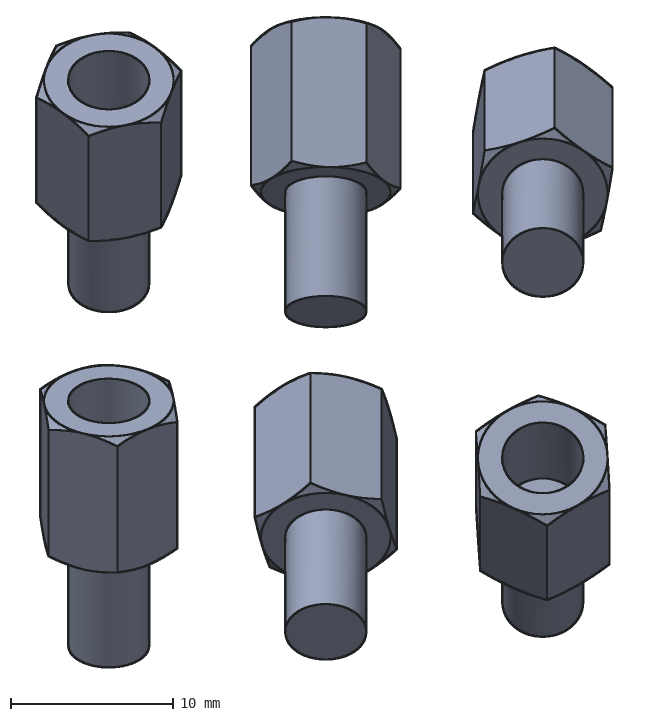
import cadquery as cq
import math

total_height = 18.0
hex_height = 10.0
across_flats = 8.0
stud_diameter = 5.0
stud_engagement = 3.0
chamfer_angle = 30.0

across_corners = across_flats / math.cos(math.radians(30.0))
stud_exposed = total_height - hex_height
stud_length = stud_exposed + stud_engagement
flat_radius = across_flats / 2
corner_radius = across_corners / 2
chamfer_drop = (corner_radius - flat_radius) * math.tan(math.radians(chamfer_angle))


def make_chamfer_envelope():
    """Turned blank whose conical ends trim the corners of the hexagon."""
    profile = (
        cq.Workplane("XZ")
        .moveTo(0, stud_exposed)
        .lineTo(flat_radius, stud_exposed)
        .lineTo(corner_radius, stud_exposed + chamfer_drop)
        .lineTo(corner_radius, total_height - chamfer_drop)
        .lineTo(flat_radius, total_height)
        .lineTo(0, total_height)
        .close()
    )
    return profile.revolve(360, (0, 0, 0), (0, 1, 0))


def make_hex_sleeve():
    """Hexagonal sleeve with flats facing X, corners on Y and a through bore."""
    hexagon = (
        cq.Workplane("XY", origin=(0, 0, stud_exposed))
        .transformed(rotate=(0, 0, 90))
        .polygon(6, across_corners)
        .extrude(hex_height)
    )
    chamfered = hexagon.intersect(make_chamfer_envelope())
    return chamfered.faces(">Z").workplane(origin=(0, 0, total_height)).hole(stud_diameter)


def make_stud():
    """Plain round stud seated in the lower end of the sleeve bore."""
    return cq.Workplane("XY").circle(stud_diameter / 2).extrude(stud_length)


hex_sleeve = make_hex_sleeve()
stud = make_stud()

result = cq.Compound.makeCompound([hex_sleeve.solids().val(), stud.val()])